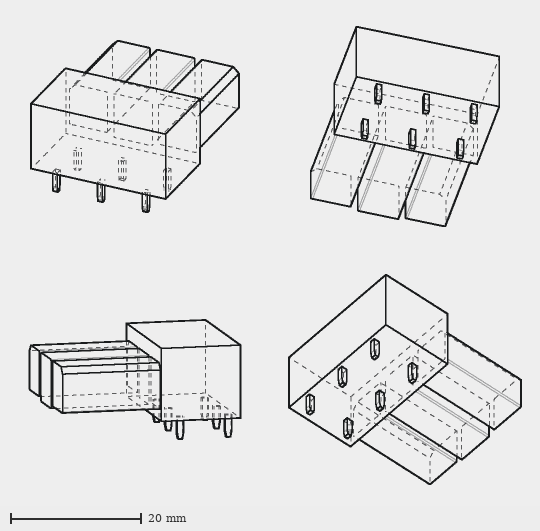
import cadquery as cq


WAYS = 3
ROWS = 2
PITCH = 7.62

TOTAL_LENGTH = 28.0
BLOCK_WIDTH = WAYS * PITCH
BLOCK_LENGTH = 12.52
BLOCK_HEIGHT = 11.4

FINGER_LENGTH = TOTAL_LENGTH - BLOCK_LENGTH
MIDDLE_FINGER_WIDTH = 6.55
FINGER_GAP = 1.05
OUTER_FINGER_INNER_X = MIDDLE_FINGER_WIDTH / 2 + FINGER_GAP
OUTER_SIDE_X = 10.78
FINGER_TOP_DROP = 2.5
FINGER_TOP = BLOCK_HEIGHT - FINGER_TOP_DROP
OUTER_FINGER_BOTTOM = 1.8
MIDDLE_FINGER_BOTTOM = 1.23
FINGER_ROUNDING = 0.25
KEY_CHAMFER = 0.98

PIN_WIDTH = 0.8
PIN_DEPTH = 1.0
PIN_LENGTH = 3.5
PIN_TIP_LENGTH = 1.0
PIN_TIP_DEPTH = 0.62
FRONT_ROW_Y = 1.05


def way_x(way):
    """X of the centre line of a way, counted from the -X side."""
    return (way - (WAYS - 1) / 2) * PITCH


def middle_finger():
    """Finger on the centre line, with all four long edges rounded."""
    height = FINGER_TOP - MIDDLE_FINGER_BOTTOM
    return (
        cq.Workplane("XY")
        .box(MIDDLE_FINGER_WIDTH, FINGER_LENGTH, height, centered=(True, False, False))
        .edges("|Y").fillet(FINGER_ROUNDING)
        .translate((0, BLOCK_LENGTH, MIDDLE_FINGER_BOTTOM))
    )


def right_finger():
    """Finger at +X, with a chamfer on its outer top edge and its other long edges rounded."""
    width = OUTER_SIDE_X - OUTER_FINGER_INNER_X
    height = FINGER_TOP - OUTER_FINGER_BOTTOM
    return (
        cq.Workplane("XY")
        .box(width, FINGER_LENGTH, height, centered=False)
        .edges("|Y and (<X or <Z)").fillet(FINGER_ROUNDING)
        .edges("|Y and >X and >Z").chamfer(KEY_CHAMFER)
        .translate((OUTER_FINGER_INNER_X, BLOCK_LENGTH, OUTER_FINGER_BOTTOM))
    )


def make_housing():
    """Block with the mating fingers growing from its back face."""
    body = cq.Workplane("XY").box(
        BLOCK_WIDTH, BLOCK_LENGTH, BLOCK_HEIGHT, centered=(True, False, False)
    )
    right = right_finger()
    for finger in (right.mirror("YZ"), middle_finger(), right):
        body = body.union(finger)
    return body


def make_pin(x, y):
    """Flat solder pin hanging from the block's underside, its depth tapered at the tip."""
    taper_start = PIN_TIP_LENGTH - PIN_LENGTH
    profile = [
        (PIN_DEPTH / 2, 0),
        (PIN_DEPTH / 2, taper_start),
        (PIN_TIP_DEPTH / 2, -PIN_LENGTH),
        (-PIN_TIP_DEPTH / 2, -PIN_LENGTH),
        (-PIN_DEPTH / 2, taper_start),
        (-PIN_DEPTH / 2, 0),
    ]
    return (
        cq.Workplane("YZ")
        .polyline(profile).close()
        .extrude(PIN_WIDTH / 2, both=True)
        .translate((x, y, 0))
    )


housing = make_housing()
pins = [
    make_pin(way_x(way), FRONT_ROW_Y + row * PITCH)
    for row in range(ROWS)
    for way in range(WAYS)
]

result = cq.Compound.makeCompound([housing.val(), *(pin.val() for pin in pins)])